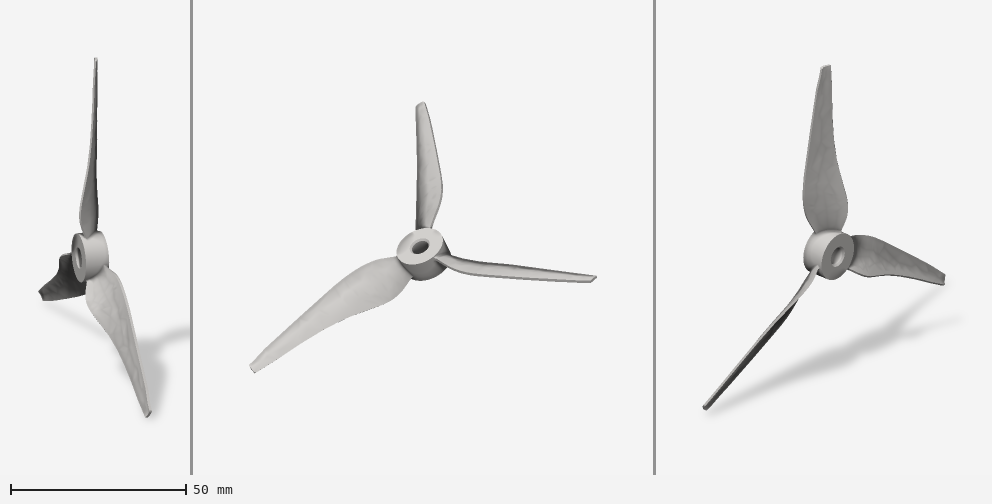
import cadquery as cq
import math

hub_radius = 7.0
hub_width = 6.9
bore_radius = 2.5
bore_chamfer = 0.5

blade_count = 3
leading_thickness = 0.8
trailing_thickness = 0.6
leading_angle = 15.0
trailing_angle = 50.0
camber_ratio = 0.08
tip_corner_radius = 1.0
trim_flare = 16.8
trim_depth = 21.0
root_fillet = 0.4

blade_stations = [
    (4.7, -3.2, 3.0, 2.8, -2.5),
    (7.9, -3.5, 3.2, 3.2, -2.8),
    (11.0, -4.9, 3.6, 3.9, -4.0),
    (14.7, -6.2, 3.9, 4.1, -4.4),
    (20.0, -6.9, 3.6, 4.0, -3.6),
    (28.4, -6.3, 2.6, 3.8, -1.6),
    (37.8, -4.9, 2.1, 3.4, -0.4),
    (48.3, -3.4, 2.1, 2.9, 0.1),
    (54.6, -2.2, 2.2, 2.6, 0.3),
    (60.0, -1.0, 2.2, 2.3, 0.6),
]


def thickness_step(thickness, angle):
    """Step across the blade thickness, from the front face to the back face."""
    slope = math.radians(angle)
    return cq.Vector(thickness * math.sin(slope), thickness * math.cos(slope), 0)


def camber_arc(start, end):
    """Arc from the leading to the trailing edge that bulges toward +X and +Y."""
    chord = end - start
    bulge = cq.Vector(-chord.y, chord.x, 0) * camber_ratio
    return cq.Edge.makeThreePointArc(start, (start + end) * 0.5 + bulge, end)


def blade_section(height, leading_x, trailing_x, leading_y, trailing_y):
    """Closed wire of a cambered blade with blunt edges, level at the given height."""
    leading_step = thickness_step(leading_thickness, leading_angle)
    trailing_step = thickness_step(trailing_thickness, trailing_angle)
    front_leading = cq.Vector(leading_x, leading_y - leading_step.y, height)
    back_leading = front_leading + leading_step
    back_trailing = cq.Vector(trailing_x, trailing_y + trailing_step.y, height)
    front_trailing = back_trailing - trailing_step
    return cq.Wire.assembleEdges([
        camber_arc(front_leading, front_trailing),
        cq.Edge.makeLine(front_trailing, back_trailing),
        camber_arc(back_leading, back_trailing),
        cq.Edge.makeLine(back_leading, front_leading),
    ])


def make_tip_trim():
    """Block around the blade, tapered to the tip, whose rounded corners trim the tip."""
    tip_height, tip_leading_x, tip_trailing_x = blade_stations[-1][:3]
    outline = [
        (tip_leading_x, tip_height),
        (tip_trailing_x, tip_height),
        (tip_trailing_x + trim_flare, 0),
        (tip_leading_x - trim_flare, 0),
    ]
    block = cq.Workplane("XZ").polyline(outline).close().extrude(trim_depth / 2, both=True)
    return block.faces(">Z").edges("|Y").fillet(tip_corner_radius)


def make_blade():
    """Twisted blade along +Z with rounded tip corners."""
    sections = [blade_section(*station) for station in blade_stations]
    blade = cq.Workplane(cq.Solid.makeLoft(sections))
    return blade.intersect(make_tip_trim())


def make_hub():
    """Plain hub cylinder; its seam lies opposite the first blade, clear of all blades."""
    base = cq.Vector(0, -hub_width / 2, 0)
    hub = cq.Workplane(cq.Solid.makeCylinder(hub_radius, hub_width, base, cq.Vector(0, 1, 0)))
    return hub.rotate((0, 0, 0), (0, 1, 0), 180)


def fillet_roots(propeller):
    """Blend each blade into the hub cylinder with a small fillet."""
    root_edges = [
        edge
        for edge in propeller.edges("not(%CIRCLE or %LINE)").vals()
        if math.hypot(edge.Center().x, edge.Center().z) < hub_radius
    ]
    return propeller.newObject(root_edges).fillet(root_fillet)


def make_bore():
    """Through bore with a conical mouth at each hub face."""
    half_width = hub_width / 2
    axis = cq.Vector(0, 1, 0)
    bore = cq.Solid.makeCylinder(bore_radius, hub_width, axis * -half_width, axis)
    for side in (-1, 1):
        mouth = cq.Solid.makeCone(
            bore_radius + bore_chamfer, bore_radius, bore_chamfer, axis * (side * half_width), axis * -side
        )
        bore = bore.fuse(mouth)
    return bore


blade = make_blade()
propeller = make_hub()
for index in range(blade_count):
    turn = index * 360 / blade_count
    propeller = propeller.union(blade.rotate((0, 0, 0), (0, 1, 0), turn), clean=False)
propeller = fillet_roots(propeller)

result = propeller.cut(cq.Workplane(make_bore()))